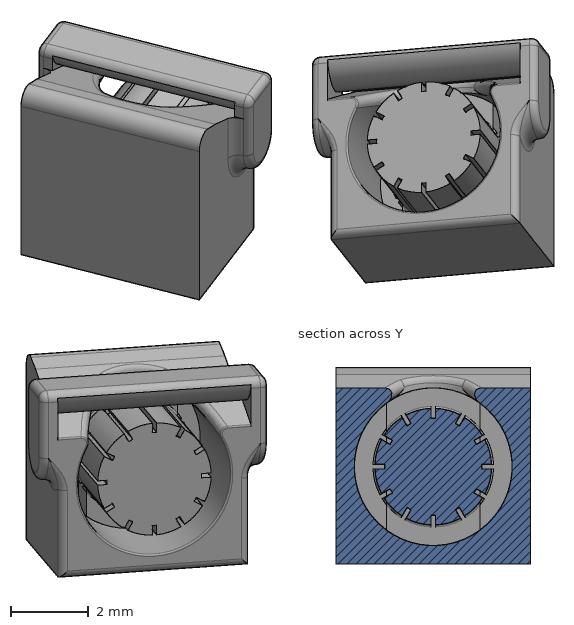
import cadquery as cq
import math

LENGTH = 6.0
DEPTH = 3.63
HEIGHT = 5.05
BODY_WIDTH = 5.005
BACK = DEPTH / 2
FRONT = -DEPTH / 2
BODY_SIDE = BODY_WIDTH / 2
BACK_ROUND = 0.2

CREST_RADIUS = 0.39
CREST_ANGLE = math.radians(18.5)
RAMP_START = -0.8
RAMP_BACK_Z = 3.76

BAR_DEPTH = 1.5
BAR_TOP = 5.005
BAR_ROUND_Z = 3.25
BAR_END_ROUND = 0.2
BAR_TOP_ROUND = 0.25
BAR_Y = BACK - BAR_DEPTH / 2
BAR_FRONT = BACK - BAR_DEPTH
BLEND_RADIUS = LENGTH / 2 - BODY_SIDE - BAR_END_ROUND

GAP_WIDTH = 5.11

AXIS_Z = 2.5
SOCKET_RADIUS = 2.02
SOCKET_END = -0.61
RIM_ROUND = 0.2
LONG_BORE_END = -1.5
LIP_RADIUS = 1.41
LIP_WIDTH = 2.4
MOUTH_ROUND = 0.05
PIN_RADIUS = 1.5
PIN_ROOT_ROUND = 0.05
GROOVE_COUNT = 12
GROOVE_WIDTH = 0.115
GROOVE_DEPTH = 0.25


def crest_line_z(y):
    """Height of the shallow strip, the line that touches the crest arc."""
    centre_y = FRONT + CREST_RADIUS
    centre_z = HEIGHT - CREST_RADIUS
    return centre_z + CREST_RADIUS / math.cos(CREST_ANGLE) - math.tan(CREST_ANGLE) * (y - centre_y)


def ramp_z(y):
    """Height of the steeper ramp."""
    start_z = crest_line_z(RAMP_START)
    return start_z + (RAMP_BACK_Z - start_z) * (y - RAMP_START) / (BACK - RAMP_START)


def profile_under_top(front, back, bottom):
    """Side profile below the sloping top, between two Y positions."""
    return (
        cq.Workplane("YZ")
        .moveTo(front, bottom)
        .lineTo(back, bottom)
        .lineTo(back, ramp_z(back))
        .lineTo(RAMP_START, crest_line_z(RAMP_START))
        .lineTo(front, crest_line_z(front))
        .close()
    )


def centred_along_x(outline, width):
    return outline.extrude(width / 2, both=True)


def block():
    solid = centred_along_x(profile_under_top(FRONT, BACK, 0), BODY_WIDTH)
    return solid.faces("<Y").edges(">Z").fillet(CREST_RADIUS)


def rounded_bar_outline(offset, top, x=0):
    """Round-bottomed outline of the bar end at a given X, grown outward by the offset."""
    half = BAR_DEPTH / 2 + offset
    return (
        cq.Workplane("YZ", origin=(x, 0, 0))
        .moveTo(BAR_Y - half, top)
        .lineTo(BAR_Y - half, BAR_ROUND_Z)
        .threePointArc((BAR_Y, BAR_ROUND_Z - half), (BAR_Y + half, BAR_ROUND_Z))
        .lineTo(BAR_Y + half, top)
        .close()
    )


def bar():
    solid = centred_along_x(rounded_bar_outline(0, BAR_TOP), LENGTH)
    solid = solid.faces(">Z").edges("|X").fillet(BAR_TOP_ROUND)
    return solid.faces("<X or >X").edges().fillet(BAR_END_ROUND)


def blends():
    """Concave fillets between the bar ends and the block sides, below the ramp."""
    reach = BODY_SIDE + BLEND_RADIUS
    half = BAR_DEPTH / 2 + BLEND_RADIUS
    collar = rounded_bar_outline(BLEND_RADIUS, HEIGHT, BODY_SIDE).extrude(BLEND_RADIUS)
    path = (
        cq.Workplane("YZ", origin=(reach, 0, 0))
        .moveTo(BAR_Y - half, HEIGHT)
        .lineTo(BAR_Y - half, BAR_ROUND_Z)
        .threePointArc((BAR_Y, BAR_ROUND_Z - half), (BAR_Y + half, BAR_ROUND_Z))
    )
    hollow = cq.Workplane("XY", origin=(reach, BAR_Y - half, HEIGHT)).circle(BLEND_RADIUS).sweep(path)
    below_top = profile_under_top(FRONT, BACK, 0).extrude(LENGTH)
    right_blend = collar.cut(hollow).intersect(below_top)
    return right_blend.union(right_blend.mirror("YZ"))


def gap():
    """Space between the ramp and the half-round underside of the bar."""
    outline = (
        cq.Workplane("YZ")
        .moveTo(RAMP_START, crest_line_z(RAMP_START))
        .lineTo(BACK, RAMP_BACK_Z)
        .lineTo(BACK, BAR_TOP)
        .threePointArc((BAR_Y, BAR_TOP - BAR_DEPTH / 2), (BAR_FRONT, BAR_TOP))
        .lineTo(RAMP_START, BAR_TOP)
        .close()
    )
    return centred_along_x(outline, GAP_WIDTH)


def cylinder_from_back(radius, end):
    circle = cq.Workplane("XZ", origin=(0, BACK, AXIS_Z)).circle(radius)
    return circle.extrude(BACK - end)


def socket_block():
    """Block with the socket bored from the back and the rim of its opening rounded.

    The rim is rounded on a longer bore, which is then filled in front of the socket's end wall.
    The top edge of that wall has the same rounding.
    """
    wedge = (
        cq.Workplane("YZ")
        .polyline([(FRONT, 0), (BACK, 0), (BACK, RAMP_BACK_Z), (FRONT, ramp_z(FRONT))])
        .close()
    )
    bored = centred_along_x(wedge, BODY_WIDTH).cut(cylinder_from_back(SOCKET_RADIUS, LONG_BORE_END))
    bored = bored.edges("%ELLIPSE").fillet(RIM_ROUND)
    lip_rear = SOCKET_END + LIP_RADIUS
    filling = centred_along_x(profile_under_top(LONG_BORE_END, lip_rear, AXIS_Z - SOCKET_RADIUS), LIP_WIDTH)
    filling = filling.cut(cq.Workplane("XY").center(0, lip_rear).circle(LIP_RADIUS).extrude(HEIGHT))
    filling = filling.edges("%ELLIPSE").fillet(RIM_ROUND)
    filling = filling.cut(cylinder_from_back(SOCKET_RADIUS, SOCKET_END))
    return bored.union(filling).intersect(block())


def pin():
    """Pin on the end wall of the socket, with a rounded root and lengthwise grooves."""
    root_y = SOCKET_END + PIN_ROOT_ROUND
    root_offset = PIN_ROOT_ROUND * (1 - math.sqrt(0.5))
    profile = (
        cq.Workplane("XY", origin=(0, 0, AXIS_Z))
        .moveTo(0, BACK)
        .lineTo(PIN_RADIUS, BACK)
        .lineTo(PIN_RADIUS, root_y)
        .threePointArc(
            (PIN_RADIUS + root_offset, SOCKET_END + root_offset),
            (PIN_RADIUS + PIN_ROOT_ROUND, SOCKET_END),
        )
        .lineTo(0, SOCKET_END)
        .close()
    )
    solid = profile.revolve(360, (0, 0, 0), (0, 1, 0))
    groove = cq.Workplane("XY").box(GROOVE_WIDTH, BACK - SOCKET_END, 2 * GROOVE_DEPTH)
    groove = groove.translate((0, (BACK + SOCKET_END) / 2, PIN_RADIUS))
    for index in range(GROOVE_COUNT):
        turned = groove.rotate((0, 0, 0), (0, 1, 0), index * 360 / GROOVE_COUNT)
        solid = solid.cut(turned.translate((0, 0, AXIS_Z)))
    return solid


def round_back(solid):
    """Round the back edges below the bar ends and the mouth of the socket."""
    below_bar = cq.selectors.BoxSelector((-LENGTH, BACK - 0.06, -0.06), (LENGTH, BACK + 0.06, BAR_ROUND_Z))
    solid = solid.faces(">Y").edges(below_bar).edges("not %CIRCLE").fillet(BACK_ROUND)
    return solid.faces(">Y").edges("%CIRCLE").edges(below_bar).fillet(MOUTH_ROUND)


block_space = centred_along_x(profile_under_top(FRONT, BACK, 0), BODY_WIDTH)
hollow_bar = bar().cut(gap()).cut(block_space)
shell = round_back(socket_block().union(hollow_bar).union(blends()))
result = shell.union(pin())